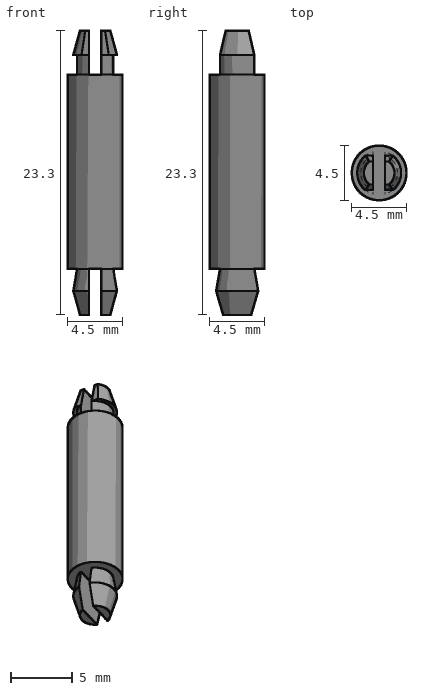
import cadquery as cq
import math

body_diameter = 4.5
body_length = 15.9

slot_width = 1.0

neck_diameter = 3.0
neck_length = 1.6
catch_diameter = 3.6
tip_diameter = 2.5
head_length = 2.0
head_tip_depth = 1.9
head_base_depth = math.sqrt(neck_diameter**2 - slot_width**2)

root_diameter = neck_diameter
flare_length = 1.8
taper_length = 2.0

neck_top = body_length + neck_length
upper_tip = neck_top + head_length
lower_catch = -flare_length
lower_tip = lower_catch - taper_length


def cylinder(diameter, bottom, top):
    return cq.Workplane("XY").workplane(offset=bottom).circle(diameter / 2).extrude(top - bottom)


def cone(bottom_diameter, top_diameter, bottom, top):
    """Truncated cone on the Z axis."""
    profile = [
        (0, bottom),
        (bottom_diameter / 2, bottom),
        (top_diameter / 2, top),
        (0, top),
    ]
    return cq.Workplane("XZ").polyline(profile).close().revolve(360, (0, 0), (0, 1))


def upper_head():
    """Tapered head, trimmed by sloping flats on its -Y and +Y sides."""
    wedge_outline = [
        (-head_base_depth / 2, neck_top),
        (head_base_depth / 2, neck_top),
        (head_tip_depth / 2, upper_tip),
        (-head_tip_depth / 2, upper_tip),
    ]
    wedge = cq.Workplane("YZ").polyline(wedge_outline).close().extrude(catch_diameter, both=True)
    return cone(catch_diameter, tip_diameter, neck_top, upper_tip).intersect(wedge)


def slot(bottom, top):
    """Cutter running along Y through the middle of a snap-in end."""
    cutter = cq.Workplane("XY").workplane(offset=bottom).rect(slot_width, body_diameter)
    return cutter.extrude(top - bottom)


def upper_end():
    neck = cylinder(neck_diameter, body_length, neck_top)
    return neck.union(upper_head()).cut(slot(body_length, upper_tip))


def lower_end():
    flare = cone(catch_diameter, root_diameter, lower_catch, 0)
    taper = cone(tip_diameter, catch_diameter, lower_tip, lower_catch)
    return flare.union(taper).cut(slot(lower_tip, 0))


body = cylinder(body_diameter, 0, body_length)
result = body.union(upper_end()).union(lower_end())